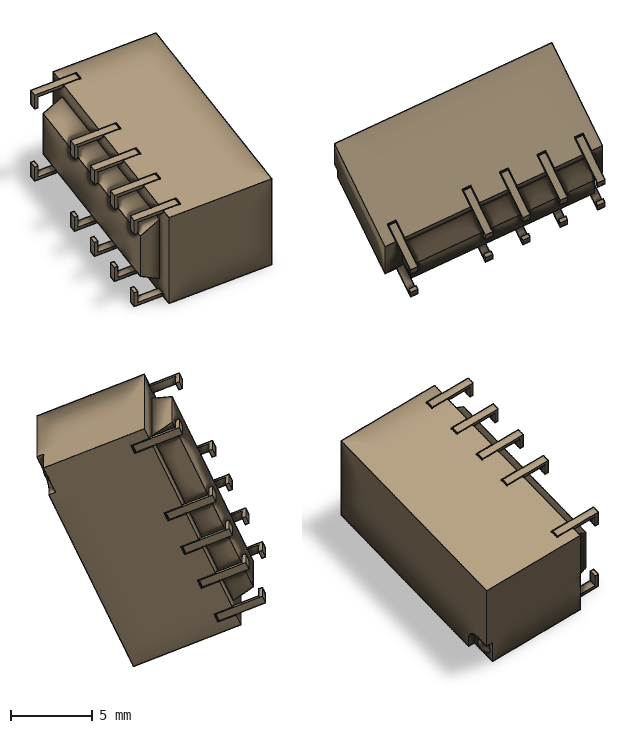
import cadquery as cq

body_length = 14.8
body_depth = 7.21
body_height = 7.3

pad_length = 12.43
pad_projection = 1.35
pad_base_height = 5.03
pad_top_height = 3.43

pin_pitch = 2.55
pin_pitch_steps = (-2.5, -0.5, 0.5, 1.5, 2.5)
pin_width = 0.5
pin_thickness = 0.25
pin_projection = 2.0
pin_embedded_length = 1.14
pin_foot_height = 1.18

slot_side_gap = 0.05
slot_end_gap = 0.09
slot_depth = 0.15

notch_size = 1.84
notch_depth = 0.45
notch_radius = 0.99
dome_radius = 0.59
dome_height = 0.3


def make_housing():
    block = cq.Workplane("XY").box(body_length, body_depth, body_height, centered=(True, False, True))
    pad = (
        cq.Workplane("YZ")
        .moveTo(0, pad_base_height / 2)
        .lineTo(-pad_projection, pad_top_height / 2)
        .lineTo(-pad_projection, -pad_top_height / 2)
        .lineTo(0, -pad_base_height / 2)
        .close()
        .extrude(pad_length / 2, both=True)
    )
    return block.union(pad)


def make_notch():
    """Square corner cut whose inner upper corner is rounded."""
    return (
        cq.Workplane("XY")
        .box(notch_size, notch_depth, notch_size, centered=False)
        .edges("|Y and >X and >Z")
        .fillet(notch_radius)
        .translate((-body_length / 2, body_depth - notch_depth, -body_height / 2))
    )


def make_dome():
    """Spherical cap rising toward +Y, concentric with the notch rounding."""
    sphere_radius = (dome_radius**2 + dome_height**2) / (2 * dome_height)
    centre_offset = notch_size - notch_radius
    floor_y = body_depth - notch_depth
    centre = (
        -body_length / 2 + centre_offset,
        floor_y + dome_height - sphere_radius,
        -body_height / 2 + centre_offset,
    )
    return cq.Workplane("XY").sphere(sphere_radius).translate(centre)


def make_top_slot(x):
    slot_length = pin_embedded_length + slot_end_gap
    return (
        cq.Workplane("XY")
        .box(pin_width + 2 * slot_side_gap, slot_length, slot_depth, centered=(True, False, False))
        .translate((x, 0, body_height / 2 - slot_depth))
    )


def make_top_pin(x):
    """Terminal flush with the top face, its foot turned down at the front end."""
    top = body_height / 2
    return (
        cq.Workplane("YZ")
        .moveTo(pin_embedded_length, top)
        .lineTo(-pin_projection, top)
        .lineTo(-pin_projection, top - pin_foot_height)
        .lineTo(-pin_projection + pin_thickness, top - pin_foot_height)
        .lineTo(-pin_projection + pin_thickness, top - pin_thickness)
        .lineTo(pin_embedded_length, top - pin_thickness)
        .close()
        .extrude(pin_width / 2, both=True)
        .translate((x, 0, 0))
    )


result = make_housing().cut(make_notch()).union(make_dome())

for step in pin_pitch_steps:
    pin_x = step * pin_pitch
    top_slot = make_top_slot(pin_x)
    top_pin = make_top_pin(pin_x)
    result = result.cut(top_slot).cut(top_slot.mirror("XY"))
    result = result.union(top_pin).union(top_pin.mirror("XY"))